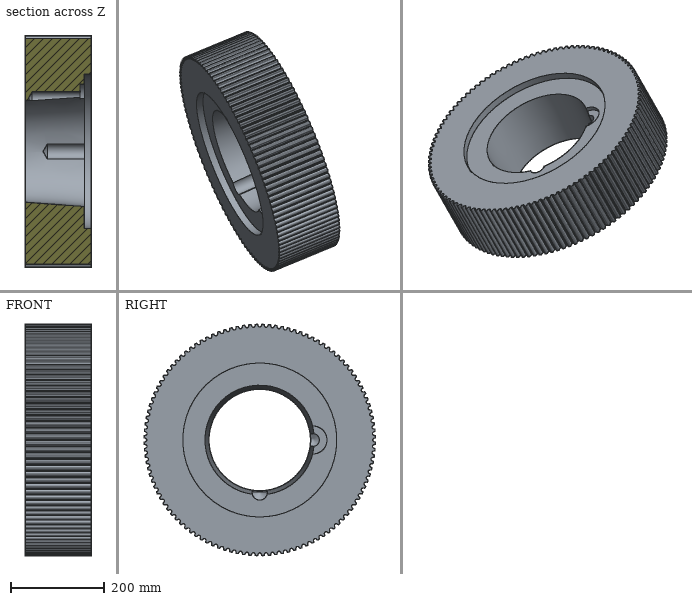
import cadquery as cq
import math

face_width = 142.49
tooth_count = 112
belt_pitch = 14.0
pitch_line_offset = 1.395
pitch_radius = tooth_count * belt_pitch / (2 * math.pi)
tip_radius = pitch_radius - pitch_line_offset

space_depth = 6.0
bottom_half_width = 1.0
throat_half_width = 4.05
flank_radius = 6.0
tip_round = 1.65
space_overshoot = 1.0

near_face_x = -face_width / 2
far_face_x = face_width / 2

taper_half_angle = math.radians(4)
taper_length = 127.0
taper_end_x = near_face_x + taper_length
taper_large_radius = 117.475
taper_small_radius = taper_large_radius - taper_length * math.tan(taper_half_angle)
recess_radius = 165.0

drill_point_half_angle = math.radians(60)
side_hole_radius = 13.7
side_hole_y = 114.0
side_hole_depth = 111.5
bottom_hole_radius = 16.3
bottom_hole_z = -112.5
bottom_hole_depth = 79.0

seat_radius = 30.0
seat_depth = 9.0
seat_floor_x = taper_end_x - seat_depth


def blank():
    return cq.Workplane("YZ", origin=(near_face_x, 0, 0)).circle(tip_radius).extrude(face_width)


def on_circle(center, radius, angle):
    """Point of a circle in (y, z), with the angle measured from +Y towards +Z."""
    return center[0] + radius * math.cos(angle), center[1] + radius * math.sin(angle)


def mirrored(point):
    return point[0], -point[1]


def tooth_space():
    """Cutter for the tooth space on the +Y axis, reaching past the tip circle."""
    bottom_y = tip_radius - space_depth
    bottom_end = (bottom_y, bottom_half_width)
    flank_z = throat_half_width - flank_radius
    flank_rise = math.sqrt(flank_radius**2 - (bottom_half_width - flank_z) ** 2)
    flank_center = (bottom_y + flank_rise, flank_z)

    flank_center_radius = math.hypot(*flank_center)
    tip_center_radius = tip_radius - tip_round
    center_gap = flank_radius + tip_round
    cosine = (tip_center_radius**2 + flank_center_radius**2 - center_gap**2) / (
        2 * tip_center_radius * flank_center_radius
    )
    mouth_angle = math.atan2(flank_z, flank_center[0]) + math.acos(cosine)
    tip_center = on_circle((0, 0), tip_center_radius, mouth_angle)
    mouth = on_circle((0, 0), tip_radius, mouth_angle)

    meet_angle = math.atan2(tip_center[1] - flank_center[1], tip_center[0] - flank_center[0])
    meet = on_circle(flank_center, flank_radius, meet_angle)
    bottom_angle = math.atan2(bottom_half_width - flank_z, -flank_rise)
    flank_mid = on_circle(flank_center, flank_radius, (meet_angle + bottom_angle) / 2)
    tip_mid = on_circle(tip_center, tip_round, (mouth_angle + meet_angle - math.pi) / 2)

    outside = (tip_radius + space_overshoot, mouth[1])
    return (
        cq.Workplane("YZ", origin=(near_face_x, 0, 0))
        .moveTo(*mirrored(outside))
        .lineTo(*mirrored(mouth))
        .threePointArc(mirrored(tip_mid), mirrored(meet))
        .threePointArc(mirrored(flank_mid), mirrored(bottom_end))
        .lineTo(*bottom_end)
        .threePointArc(flank_mid, meet)
        .threePointArc(tip_mid, mouth)
        .lineTo(*outside)
        .close()
        .extrude(face_width)
    )


def all_tooth_spaces():
    cutter = tooth_space().val()
    pitch_angle = 360 / tooth_count
    axis_start = cq.Vector(0, 0, 0)
    axis_end = cq.Vector(1, 0, 0)
    spaces = [cutter.rotate(axis_start, axis_end, i * pitch_angle) for i in range(tooth_count)]
    return cq.Compound.makeCompound(spaces)


def revolved_about_x(profile):
    """Solid of revolution from (x, radius) points."""
    return cq.Workplane("XY").polyline(profile).close().revolve(360, (0, 0, 0), (1, 0, 0))


def taper_bore_and_recess():
    return revolved_about_x(
        [
            (near_face_x, 0),
            (near_face_x, taper_small_radius),
            (taper_end_x, taper_large_radius),
            (taper_end_x, recess_radius),
            (far_face_x, recess_radius),
            (far_face_x, 0),
        ]
    )


def screw_hole(y, z, radius, depth):
    """Drilled hole along X with a conical end; depth excludes the drill point."""
    full_depth_x = taper_end_x - depth
    point_x = full_depth_x - radius / math.tan(drill_point_half_angle)
    drill = revolved_about_x(
        [
            (point_x, 0),
            (full_depth_x, radius),
            (far_face_x, radius),
            (far_face_x, 0),
        ]
    )
    return drill.translate((0, y, z))


def screw_seat():
    seat = cq.Workplane("YZ", origin=(seat_floor_x, 0, 0)).center(side_hole_y, 0)
    return seat.circle(seat_radius).extrude(far_face_x - seat_floor_x)


result = blank().cut(all_tooth_spaces())
result = result.cut(taper_bore_and_recess())
result = result.cut(screw_hole(side_hole_y, 0, side_hole_radius, side_hole_depth))
result = result.cut(screw_seat())
result = result.cut(screw_hole(0, bottom_hole_z, bottom_hole_radius, bottom_hole_depth))